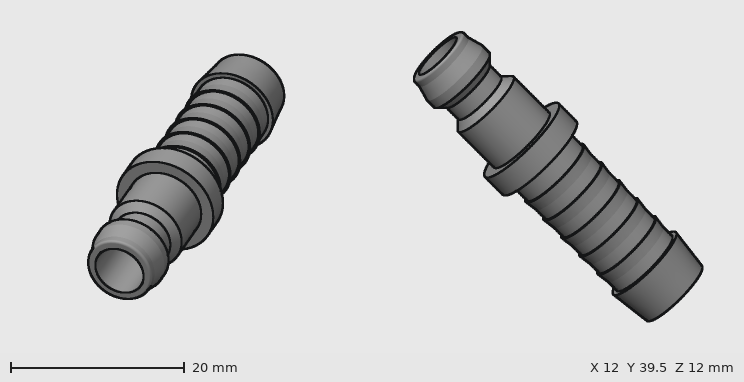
import cadquery as cq

total_length = 39.5
bore_radius = 3.0
body_radius = 4.5

tip_radius = 4.0
tip_fillet = 0.3
tip_land_end = 1.0
nose_end = 2.8
groove_radius = 3.5
groove_start = 4.0
groove_end = 8.0
groove_flank = body_radius - groove_radius

flange_radius = 6.0
flange_start = 14.0
flange_width = 3.0

end_barb_radius = 5.1
end_barb_length = 5.0
end_barb_start = total_length - end_barb_length
barb_radius = 4.7
barb_width = 1.5
barb_pitch = 3.0
barb_count = 5


def to_y(station):
    """Y coordinate of a station measured from the plug tip."""
    return station - total_length / 2


def point(radius, station):
    """Half-section point at a radius and a station."""
    return (radius, to_y(station))


def revolve_about_axis(profile):
    return profile.close().revolve(360, (0, 0, 0), (0, 1, 0))


def cylinder(radius, start, width):
    """Solid cylinder along the part axis."""
    return cq.Workplane("XZ", origin=(0, to_y(start), 0)).circle(radius).extrude(-width)


def make_plug_nose():
    """Rounded tip, short land and conical nose widening up to the full body radius."""
    profile = (
        cq.Workplane("XY")
        .moveTo(*point(0, 0))
        .lineTo(*point(tip_radius - tip_fillet, 0))
        .radiusArc(point(tip_radius, tip_fillet), -tip_fillet)
        .lineTo(*point(tip_radius, tip_land_end))
        .lineTo(*point(body_radius, nose_end))
        .lineTo(*point(0, nose_end))
    )
    return revolve_about_axis(profile)


def make_body():
    """Cylindrical shank with a locking groove whose flanks slope at 45 degrees."""
    profile = (
        cq.Workplane("XY")
        .moveTo(*point(0, nose_end))
        .lineTo(*point(body_radius, nose_end))
        .lineTo(*point(body_radius, groove_start))
        .lineTo(*point(groove_radius, groove_start + groove_flank))
        .lineTo(*point(groove_radius, groove_end - groove_flank))
        .lineTo(*point(body_radius, groove_end))
        .lineTo(*point(body_radius, total_length))
        .lineTo(*point(0, total_length))
    )
    return revolve_about_axis(profile)


def make_barb(large_radius, start, width):
    """Cone with its square shoulder at start, tapering to the body radius toward the hose end."""
    profile = (
        cq.Workplane("XY")
        .moveTo(*point(0, start))
        .lineTo(*point(large_radius, start))
        .lineTo(*point(body_radius, start + width))
        .lineTo(*point(0, start + width))
    )
    return revolve_about_axis(profile)


part = make_body().union(make_plug_nose())
part = part.union(cylinder(flange_radius, flange_start, flange_width))

part = part.union(make_barb(end_barb_radius, end_barb_start, end_barb_length))
for index in range(1, barb_count + 1):
    part = part.union(make_barb(barb_radius, end_barb_start - index * barb_pitch, barb_width))

result = part.cut(cylinder(bore_radius, 0, total_length))